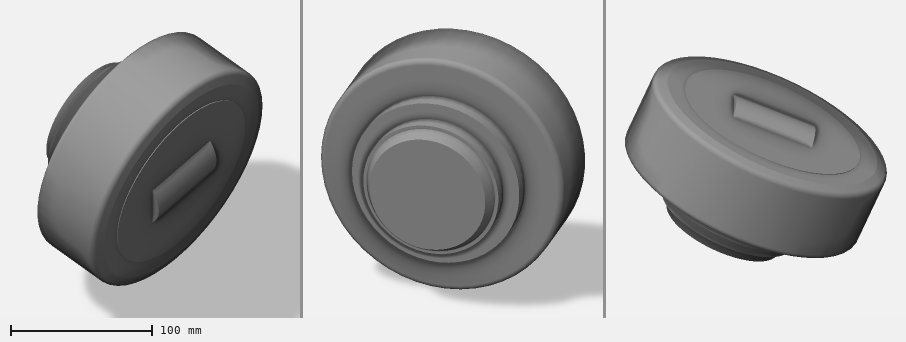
import cadquery as cq
import math

total_length = 95.8
nose_cone_end = 8.3
hub_end = 19.5
wheel_start = 32.0
rim_face = 89.3
raised_face = 89.8

nose_tip_radius = 85.9 / 2
nose_base_radius = 94.9 / 2
hub_radius = 100.0 / 2
flange_radius = 124.0 / 2
wheel_radius = 180 / 2
raised_face_radius = 134.3 / 2

edge_round = 4.0
back_round_start = 83.7
back_cone_angle = math.radians(15)

key_radius = 30.2
key_length = 2 * key_radius
key_axis_x = total_length - key_radius


def round_point(center_x, angle):
    """Point on an edge round, at an angle from +X towards the rim."""
    return (
        center_x + edge_round * math.cos(angle),
        wheel_radius - edge_round + edge_round * math.sin(angle),
    )


def make_revolved_body():
    cone_start = round_point(back_round_start, back_cone_angle)
    cone_inner_radius = cone_start[1] - (rim_face - cone_start[0]) / math.tan(back_cone_angle)
    return (
        cq.Workplane("XY")
        .moveTo(0, 0)
        .lineTo(0, nose_tip_radius)
        .lineTo(nose_cone_end, nose_base_radius)
        .lineTo(nose_cone_end, hub_radius)
        .lineTo(hub_end, hub_radius)
        .lineTo(hub_end, flange_radius)
        .lineTo(wheel_start, flange_radius)
        .lineTo(wheel_start, wheel_radius - edge_round)
        .threePointArc(
            round_point(wheel_start + edge_round, math.radians(135)),
            (wheel_start + edge_round, wheel_radius),
        )
        .lineTo(back_round_start, wheel_radius)
        .threePointArc(
            round_point(back_round_start, (math.pi / 2 + back_cone_angle) / 2),
            cone_start,
        )
        .lineTo(rim_face, cone_inner_radius)
        .lineTo(rim_face, raised_face_radius)
        .lineTo(raised_face, raised_face_radius)
        .lineTo(raised_face, 0)
        .close()
        .revolve(360, (0, 0, 0), (1, 0, 0))
    )


def make_key():
    return (
        cq.Workplane("XZ")
        .center(key_axis_x, 0)
        .circle(key_radius)
        .extrude(key_length / 2, both=True)
    )


result = make_revolved_body().union(make_key())